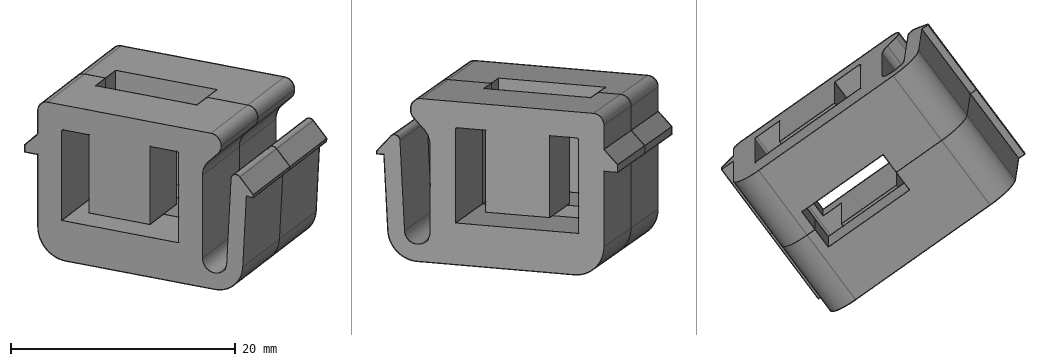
import cadquery as cq
import math

LENGTH = 22.77
DEPTH = 14.7
HEIGHT = 15.0
HALF_DEPTH = DEPTH / 2

BLOCK_LEFT = 1.3
WALL = 2.4
WINDOW_LENGTH = 11.64
WINDOW_FLOOR = 3.85
WINDOW_FILLET = 0.2
WINDOW_LEFT = BLOCK_LEFT + WALL
WINDOW_RIGHT = WINDOW_LEFT + WINDOW_LENGTH
WINDOW_TOP = HEIGHT - WALL
BLOCK_RIGHT = WINDOW_RIGHT + WALL
TOP_RADIUS = 1.0
NOSE_CENTER_X = 18.55
NOSE_FLAT = 0.11
THROAT_RADIUS = 2.0

BARB_BOTTOM = 9.77
BARB_LIP = 0.7

TONGUE_CENTER_X = 9.45
TONGUE_LENGTH = 6.05
TONGUE_BOTTOM = 5.08
SLOT_WIDTH = 4.0
ROOF_SLOT_LENGTH = 10.09
FLOOR_SLOT_LENGTH = 8.95

BEND_INNER = 1.2
BEND_OUTER = 2.8
BEND_X = BLOCK_RIGHT + BEND_INNER
BEND_Z = BEND_OUTER
ARM_LEAN = math.radians(3)
TIP_RADIUS = 0.5
TIP_CENTER_HEIGHT = 8.29
CATCH_HEIGHT = 6.95

DIAGONAL = math.sqrt(0.5)


def arm_point(across, along):
    """Point in the leaning frame of the arm, measured from the bend center."""
    x = BEND_X + across * math.cos(ARM_LEAN) + along * math.sin(ARM_LEAN)
    z = BEND_Z - across * math.sin(ARM_LEAN) + along * math.cos(ARM_LEAN)
    return (x, z)


def arc_point(center_x, center_z, radius, angle):
    """Point on a circle; the angle is in radians from +X towards +Z."""
    return (center_x + radius * math.cos(angle), center_z + radius * math.sin(angle))


def outline():
    """Closed outer profile, drawn clockwise from the lower left corner."""
    barb_lip_top = BARB_BOTTOM + BARB_LIP
    barb_root = barb_lip_top + BLOCK_LEFT

    nose_z = HEIGHT - TOP_RADIUS
    nose_lower_z = nose_z - NOSE_FLAT
    nose_right = NOSE_CENTER_X + TOP_RADIUS
    nose_end = arc_point(NOSE_CENTER_X, nose_lower_z, TOP_RADIUS, -math.pi / 4)
    throat_x = BLOCK_RIGHT + THROAT_RADIUS
    throat_start_x = throat_x - THROAT_RADIUS * DIAGONAL
    throat_start_z = nose_end[1] - (nose_end[0] - throat_start_x)
    throat_z = throat_start_z - THROAT_RADIUS * DIAGONAL

    tip_across = BEND_INNER + TIP_RADIUS
    slope_sum = tip_across + TIP_CENTER_HEIGHT + 2 * TIP_RADIUS * DIAGONAL
    reach = LENGTH - BEND_X - slope_sum * math.sin(ARM_LEAN)
    catch_across = reach / (math.cos(ARM_LEAN) - math.sin(ARM_LEAN))
    tip_mid_angle = math.radians(112.5)
    tip_mid = arc_point(tip_across, TIP_CENTER_HEIGHT, TIP_RADIUS, tip_mid_angle)
    tip_end = arc_point(tip_across, TIP_CENTER_HEIGHT, TIP_RADIUS, math.pi / 4)

    inner_bend_mid = arc_point(BEND_X, BEND_Z, BEND_INNER, -math.pi / 2)
    outer_bend_mid = arc_point(BEND_X, BEND_Z, BEND_OUTER, -math.pi / 4)
    lower_left_mid = arc_point(BLOCK_LEFT + BEND_OUTER, BEND_OUTER, BEND_OUTER, -0.75 * math.pi)
    upper_left_mid = arc_point(BLOCK_LEFT + TOP_RADIUS, nose_z, TOP_RADIUS, 0.75 * math.pi)
    nose_upper_mid = arc_point(NOSE_CENTER_X, nose_z, TOP_RADIUS, math.pi / 4)
    nose_lower_mid = arc_point(NOSE_CENTER_X, nose_lower_z, TOP_RADIUS, -math.pi / 8)
    throat_mid = arc_point(throat_x, throat_z, THROAT_RADIUS, math.radians(157.5))

    return (
        cq.Workplane("XZ")
        .moveTo(BLOCK_LEFT + BEND_OUTER, 0)
        .threePointArc(lower_left_mid, (BLOCK_LEFT, BEND_OUTER))
        .lineTo(BLOCK_LEFT, BARB_BOTTOM)
        .lineTo(0, BARB_BOTTOM)
        .lineTo(0, barb_lip_top)
        .lineTo(BLOCK_LEFT, barb_root)
        .lineTo(BLOCK_LEFT, nose_z)
        .threePointArc(upper_left_mid, (BLOCK_LEFT + TOP_RADIUS, HEIGHT))
        .lineTo(NOSE_CENTER_X, HEIGHT)
        .threePointArc(nose_upper_mid, (nose_right, nose_z))
        .lineTo(nose_right, nose_lower_z)
        .threePointArc(nose_lower_mid, nose_end)
        .lineTo(throat_start_x, throat_start_z)
        .threePointArc(throat_mid, (BLOCK_RIGHT, throat_z))
        .lineTo(BLOCK_RIGHT, BEND_Z)
        .threePointArc(inner_bend_mid, arm_point(BEND_INNER, 0))
        .lineTo(*arm_point(BEND_INNER, TIP_CENTER_HEIGHT))
        .threePointArc(arm_point(*tip_mid), arm_point(*tip_end))
        .lineTo(*arm_point(catch_across, slope_sum - catch_across))
        .lineTo(*arm_point(catch_across, CATCH_HEIGHT))
        .lineTo(*arm_point(BEND_OUTER, CATCH_HEIGHT))
        .lineTo(*arm_point(BEND_OUTER, 0))
        .threePointArc(outer_bend_mid, (BEND_X, 0))
        .close()
    )


def box(x_min, x_max, y_min, y_max, z_min, z_max):
    """Box between the given limits."""
    size = (x_max - x_min, y_max - y_min, z_max - z_min)
    return cq.Workplane("XY").box(*size, centered=False).translate((x_min, y_min, z_min))


def window_space():
    """Window opening with the tongue left out of it."""
    window = box(WINDOW_LEFT, WINDOW_RIGHT, -HALF_DEPTH, 0, WINDOW_FLOOR, WINDOW_TOP)
    window = window.edges("|Y and >Z").fillet(WINDOW_FILLET)
    tongue = box(
        TONGUE_CENTER_X - TONGUE_LENGTH / 2, TONGUE_CENTER_X + TONGUE_LENGTH / 2,
        -HALF_DEPTH, -SLOT_WIDTH / 2,
        TONGUE_BOTTOM, WINDOW_TOP,
    )
    return window.cut(tongue)


def slot_space(length, z_min, z_max):
    """Half of a vertical slot, open at the parting plane."""
    return box(
        TONGUE_CENTER_X - length / 2, TONGUE_CENTER_X + length / 2,
        -SLOT_WIDTH / 2, 0,
        z_min, z_max,
    )


def clip_half(on_front):
    """One half of the clip, on the -Y or the +Y side of the parting plane Y = 0."""
    half = outline().extrude(HALF_DEPTH)
    half = half.cut(window_space())
    half = half.cut(slot_space(ROOF_SLOT_LENGTH, WINDOW_TOP, HEIGHT))
    half = half.cut(slot_space(FLOOR_SLOT_LENGTH, 0, WINDOW_FLOOR))
    return half if on_front else half.mirror("XZ")


clip_halves = [clip_half(on_front) for on_front in (True, False)]

result = cq.Compound.makeCompound([half.val() for half in clip_halves])